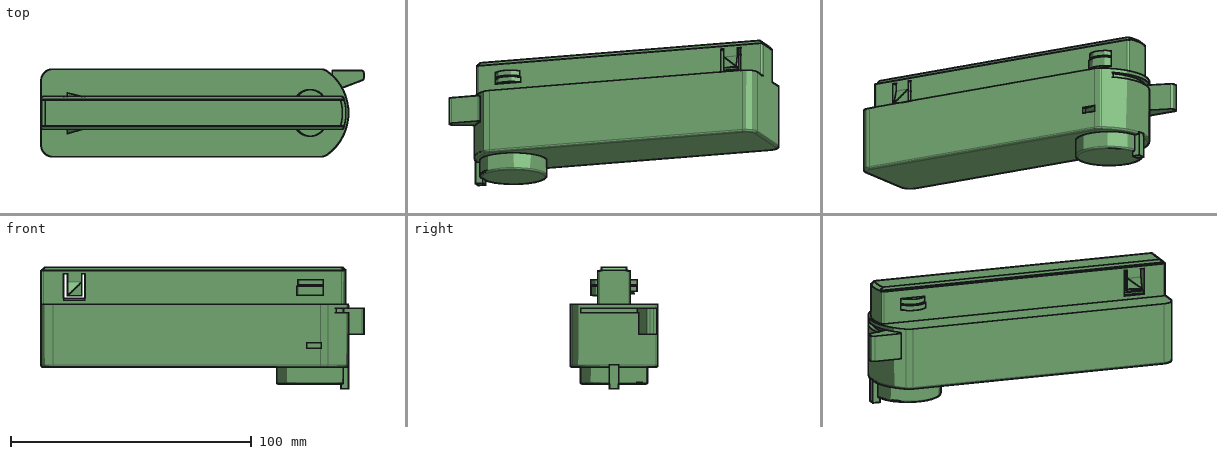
import cadquery as cq
import math


HOUSING_LENGTH = 127.7
HOUSING_WIDTH = 36.5
HOUSING_HEIGHT = 26.1
HOUSING_CORNER_RADIUS = 5.0
HOUSING_BOTTOM_FILLET = 1.0
END_RADIUS = 21.5
END_CENTER_X = HOUSING_LENGTH - END_RADIUS

ADAPTER_WIDTH = 13.7
ADAPTER_TOP = 40.0
ADAPTER_END_GAP = 1.1
ADAPTER_END_RADIUS = END_RADIUS - ADAPTER_END_GAP
ADAPTER_EDGE_FILLET = 1.0
CAP_WIDTH = 10.5
CAP_TOP = 41.6
CAP_INSET = 0.3
CAP_CHAMFER_LENGTH = 1.5
CAP_FOOT_WIDTH = 11.5
CAP_FOOT_HEIGHT = 0.3

WINDOW_START = 9.4
WINDOW_LENGTH = 8.8
WINDOW_BOTTOM = 28.7
WINDOW_TOP = 38.8
SILL_DEPTH = 1.7
SILL_DROP = 1.0
TONGUE_START = 11.0
TONGUE_LENGTH = 6.0
TONGUE_BOTTOM = 29.6
TONGUE_THICKNESS = 1.7
HOOK_TOP = 35.4
FRONT_HOOK_BOTTOM = TONGUE_BOTTOM
FRONT_HOOK_REACH = 1.7
BACK_HOOK_BOTTOM = 30.6
BACK_HOOK_REACH = 1.5

CONTACT_END_X = 117.2
UPPER_CONTACT_LENGTH = 10.7
LOWER_CONTACT_LENGTH = 11.1
CONTACT_REACH = 2.8
UPPER_CONTACT_BOTTOM = 34.2
UPPER_CONTACT_TOP = 36.3
LOWER_CONTACT_TOP = 33.7
FRONT_CONTACT_BOTTOM = 29.8
BACK_CONTACT_BOTTOM = 31.5

KNOB_CENTER_X = 111.7
KNOB_RADIUS = 14.0
KNOB_HEIGHT = 7.0
KNOB_FILLET = 0.8
POINTER_START = 124.5
POINTER_WIDTH = 3.8
POINTER_DROP = 9.0

LEVER_BOTTOM = 13.7
LEVER_TOP = 24.5
LEVER_TIP_X = 134.1
LEVER_START_X = 120.8
LEVER_OUTER_Y = 17.7
LEVER_TIP_INNER_Y = 13.8
LEVER_ROOT_X = 122.0
LEVER_ROOT_Y = 9.3
LEVER_TIP_FILLET = 1.3
LEVER_START_FILLET = 0.4
SLOT_BOTTOM = 22.5
SLOT_DEPTH = 2.0
SLOT_END_Y = 13.8

NOTCH_START = 110.4
NOTCH_END = 116.3
NOTCH_BOTTOM = 7.8
NOTCH_TOP = 10.2
NOTCH_DEPTH = 2.0


def rounded_end_prism(start_x, width, end_radius, bottom, top):
    """Bar with a flat end at start_x and an arc end centred on END_CENTER_X."""
    half = width / 2
    shoulder_x = END_CENTER_X + math.sqrt(end_radius**2 - half**2)
    return (
        cq.Workplane("XY", origin=(0, 0, bottom))
        .moveTo(start_x, -half)
        .lineTo(shoulder_x, -half)
        .threePointArc((END_CENTER_X + end_radius, 0), (shoulder_x, half))
        .lineTo(start_x, half)
        .close()
        .extrude(top - bottom)
    )


def box(x_start, x_end, y_start, y_end, z_start, z_end):
    size = (x_end - x_start, y_end - y_start, z_end - z_start)
    return cq.Workplane("XY", origin=(x_start, y_start, z_start)).box(*size, centered=False)


def make_housing():
    body = rounded_end_prism(0, HOUSING_WIDTH, END_RADIUS, 0, HOUSING_HEIGHT)
    body = body.edges("|Z").fillet(HOUSING_CORNER_RADIUS)
    return body.faces("<Z").edges().fillet(HOUSING_BOTTOM_FILLET)


def make_grip_notch():
    """Wedge that is deepest at its start and runs out at the end of the flat side."""
    side = -HOUSING_WIDTH / 2
    profile = [(NOTCH_START, side), (NOTCH_START, side + NOTCH_DEPTH), (NOTCH_END, side)]
    return (
        cq.Workplane("XY", origin=(0, 0, NOTCH_BOTTOM))
        .polyline(profile)
        .close()
        .extrude(NOTCH_TOP - NOTCH_BOTTOM)
    )


def make_lever_slot():
    """Ring segment cut into the round end, level with the top of the lever."""
    ring = (
        cq.Workplane("XY", origin=(END_CENTER_X, 0, SLOT_BOTTOM))
        .circle(END_RADIUS + SLOT_DEPTH)
        .circle(END_RADIUS - SLOT_DEPTH)
        .extrude(LEVER_TOP - SLOT_BOTTOM)
    )
    reach = box(END_CENTER_X, LEVER_TIP_X, -SLOT_END_Y, SLOT_END_Y, SLOT_BOTTOM, LEVER_TOP)
    return ring.intersect(reach)


def make_lever():
    outline = [
        (LEVER_START_X, LEVER_OUTER_Y),
        (LEVER_TIP_X, LEVER_OUTER_Y),
        (LEVER_TIP_X, LEVER_TIP_INNER_Y),
        (LEVER_ROOT_X, LEVER_ROOT_Y),
        (LEVER_START_X, LEVER_ROOT_Y),
    ]
    lever = (
        cq.Workplane("XY", origin=(0, 0, LEVER_BOTTOM))
        .polyline(outline)
        .close()
        .extrude(LEVER_TOP - LEVER_BOTTOM)
    )
    lever = lever.edges("|Z and >X").fillet(LEVER_TIP_FILLET)
    return lever.edges("|Z and <X and >Y").fillet(LEVER_START_FILLET)


def make_adapter():
    base = rounded_end_prism(0, ADAPTER_WIDTH, ADAPTER_END_RADIUS, HOUSING_HEIGHT, ADAPTER_TOP)
    base = base.edges("|Z").fillet(ADAPTER_EDGE_FILLET)
    foot_top = ADAPTER_TOP + CAP_FOOT_HEIGHT
    foot = rounded_end_prism(CAP_INSET, CAP_FOOT_WIDTH, ADAPTER_END_RADIUS, ADAPTER_TOP, foot_top)
    cap = rounded_end_prism(CAP_INSET, CAP_WIDTH, ADAPTER_END_RADIUS, ADAPTER_TOP, CAP_TOP)
    cap = cap.faces(">Z").edges("<X or >X").chamfer(CAP_TOP - foot_top, CAP_CHAMFER_LENGTH)
    return base.union(foot).union(cap)


def make_window():
    """Opening through the adapter, with a lower sill behind each side face."""
    half = ADAPTER_WIDTH / 2
    x_end = WINDOW_START + WINDOW_LENGTH
    opening = box(WINDOW_START, x_end, -half, half, WINDOW_BOTTOM, WINDOW_TOP)
    sill_bottom = WINDOW_BOTTOM - SILL_DROP
    sill = box(WINDOW_START, x_end, -half, SILL_DEPTH - half, sill_bottom, WINDOW_TOP)
    return opening.union(sill).union(sill.mirror("XZ"))


def make_clip(hook_bottom, hook_reach):
    """Tongue hanging in the window on the -Y side, with a hook on its free end."""
    side = -ADAPTER_WIDTH / 2
    x_end = TONGUE_START + TONGUE_LENGTH
    tongue = box(TONGUE_START, x_end, side, side + TONGUE_THICKNESS, TONGUE_BOTTOM, WINDOW_TOP)

    lower_start = cq.Vector(TONGUE_START, side, hook_bottom)
    lower_end = cq.Vector(x_end, side, hook_bottom)
    upper_end = cq.Vector(x_end, side, HOOK_TOP)
    upper_start = cq.Vector(TONGUE_START, side, HOOK_TOP)
    tip = cq.Vector(TONGUE_START, side - hook_reach, hook_bottom)
    corners = [lower_start, lower_end, upper_end, upper_start]
    faces = [cq.Face.makeFromWires(cq.Wire.makePolygon(corners, close=True))]
    for first, second in zip(corners, corners[1:] + corners[:1]):
        faces.append(cq.Face.makeFromWires(cq.Wire.makePolygon([first, second, tip], close=True)))
    hook = cq.Solid.makeSolid(cq.Shell.makeShell(faces))
    return tongue.union(cq.Workplane(hook))


def make_contact(side, length, bottom, top):
    """Bowed contact on the side given by the sign of Y."""
    face_y = side * ADAPTER_WIDTH / 2
    return (
        cq.Workplane("XY", origin=(CONTACT_END_X, face_y, bottom))
        .moveTo(-length, 0)
        .threePointArc((-length / 2, side * CONTACT_REACH), (0, 0))
        .close()
        .extrude(top - bottom)
    )


def make_knob():
    knob = (
        cq.Workplane("XY", origin=(KNOB_CENTER_X, 0, -KNOB_HEIGHT))
        .circle(KNOB_RADIUS)
        .extrude(KNOB_HEIGHT)
        .faces("<Z")
        .edges()
        .fillet(KNOB_FILLET)
    )
    half = POINTER_WIDTH / 2
    pointer_top = HOUSING_BOTTOM_FILLET
    pointer = box(POINTER_START, HOUSING_LENGTH, -half, half, -POINTER_DROP, pointer_top)
    return knob.union(pointer)


housing = make_housing().cut(make_grip_notch()).cut(make_lever_slot())
front_clip = make_clip(FRONT_HOOK_BOTTOM, FRONT_HOOK_REACH)
back_clip = make_clip(BACK_HOOK_BOTTOM, BACK_HOOK_REACH).mirror("XZ")
adapter = make_adapter().cut(make_window()).union(front_clip).union(back_clip)
for side, lower_bottom in ((-1, FRONT_CONTACT_BOTTOM), (1, BACK_CONTACT_BOTTOM)):
    upper_contact = make_contact(side, UPPER_CONTACT_LENGTH, UPPER_CONTACT_BOTTOM, UPPER_CONTACT_TOP)
    lower_contact = make_contact(side, LOWER_CONTACT_LENGTH, lower_bottom, LOWER_CONTACT_TOP)
    adapter = adapter.union(upper_contact).union(lower_contact)

result = housing.union(make_lever()).union(adapter).union(make_knob())